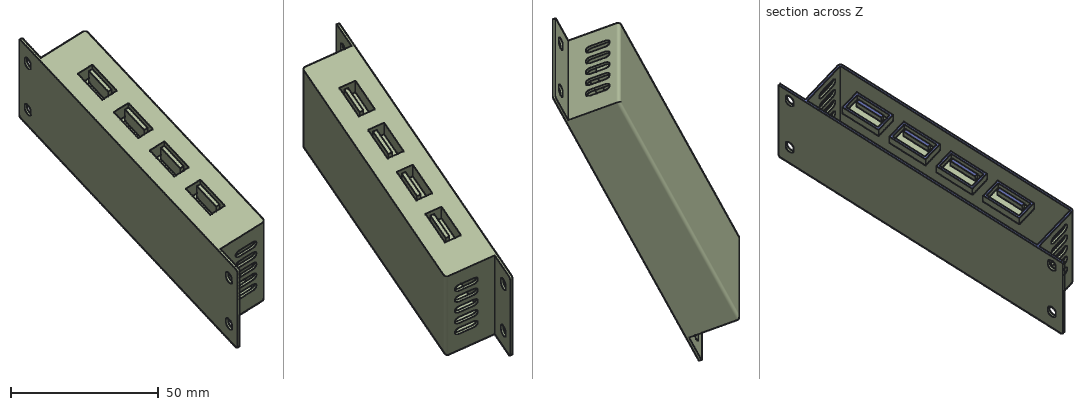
import cadquery as cq

plate_length = 121.5
plate_height = 45.5
plate_thickness = 1.0
plate_corner_radius = 1.0

mount_slot_width = 3.3
mount_slot_length = 5.2
mount_slot_spacing_x = 112.0
mount_slot_spacing_z = 26.9

box_length = 100.0
total_depth = 20.0
wall = 1.0
box_edge_radius = 1.2

vent_count = 5
vent_pitch = 6.2
vent_length = 8.9
vent_width = 3.5
vent_center_y = 11.9
vent_center_z = 0.9

port_count = 4
port_pitch = 20.0
port_row_center_x = -0.2
port_length = 13.6
port_width = 6.2
port_depth = 6.7
port_center_y = 10.0
tongue_length = 10.7
tongue_thickness = 1.5
tongue_gap = 1.1

top_z = plate_height / 2
port_positions = [
    port_row_center_x + (i - (port_count - 1) / 2) * port_pitch for i in range(port_count)
]


def block(length, depth, height, center_x, center_y, ceiling_z):
    """Box centred on X and Y whose upper face is at ceiling_z."""
    return cq.Workplane("XY").box(length, depth, height, centered=(True, True, False)).translate(
        (center_x, center_y, ceiling_z - height)
    )


def make_plate():
    plate = (
        cq.Workplane("XY")
        .box(plate_length, plate_thickness, plate_height, centered=(True, False, True))
        .edges("|Y")
        .fillet(plate_corner_radius)
    )
    slots = (
        cq.Workplane("XZ")
        .rarray(mount_slot_spacing_x, mount_slot_spacing_z, 2, 2)
        .slot2D(mount_slot_length, mount_slot_width, 90)
        .extrude(-plate_thickness)
    )
    return plate.cut(slots)


def make_box():
    """Box with rounded rear edges, except for the sharp edge along the top."""
    outer = (
        cq.Workplane("XY")
        .box(box_length, total_depth, plate_height, centered=(True, False, True))
        .edges("(>Y and |Z) or (>Y and <Z)")
        .fillet(box_edge_radius)
    )
    cavity = cq.Workplane("XY").box(
        box_length - 2 * wall,
        total_depth - plate_thickness - wall,
        plate_height - 2 * wall,
        centered=(True, False, True),
    )
    return outer.cut(cavity.translate((0, plate_thickness, 0)))


def make_vents():
    return (
        cq.Workplane("YZ")
        .center(vent_center_y, vent_center_z)
        .rarray(1.2, vent_pitch, 1, vent_count)
        .slot2D(vent_length, vent_width)
        .extrude(box_length / 2, both=True)
    )


def add_port(body, center_x):
    """Socket shell under the top wall, hollowed out, with a tongue rising from its floor to the top face."""
    shell = block(
        port_length + 2 * wall, port_width + 2 * wall, port_depth + wall, center_x, port_center_y, top_z
    )
    socket = block(port_length, port_width, port_depth, center_x, port_center_y, top_z)
    tongue_center_y = port_center_y + port_width / 2 - tongue_gap - tongue_thickness / 2
    tongue = block(tongue_length, tongue_thickness, port_depth, center_x, tongue_center_y, top_z)
    return body.union(shell).cut(socket).union(tongue)


body = make_plate().union(make_box()).cut(make_vents())
for port_x in port_positions:
    body = add_port(body, port_x)

result = body